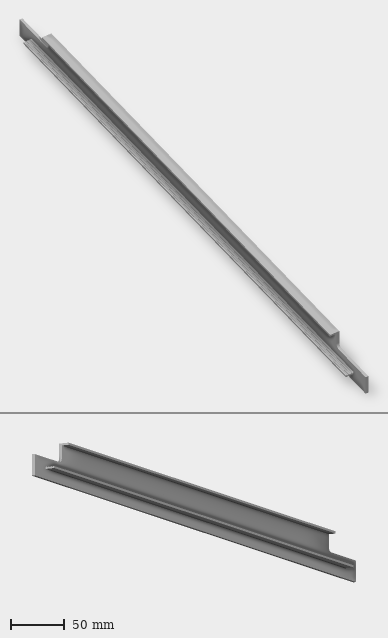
import cadquery as cq

length = 596.0
height = 39.0
thickness = 3.0

shoulder_height = 20.0
raised_length = 496.0
corner_radius = 4.0
flange_depth = 10.0
flange_thickness = 2.0

rib_length = 555.5
rib_depth = 12.0
rib_bottom = 9.5
rib_thickness = 2.0

groove_count = 4
groove_pitch = 2.0
groove_width = 1.45
groove_depth = 0.9
first_groove_offset = 5.0


def front_bar(bar_length, depth, bottom, bar_height):
    """Bar centred in X that reaches forward (-Y) from the back of the plate."""
    return (
        cq.Workplane("XY")
        .box(bar_length, depth, bar_height, centered=(True, False, False))
        .translate((0, -depth, bottom))
    )


def stepped_plate():
    """Upright plate with a taller middle and rounded inside shoulders."""
    lower = front_bar(length, thickness, 0, shoulder_height)
    raised = front_bar(raised_length, thickness, 0, height)
    half_raised = raised_length / 2
    tolerance = 0.05
    shoulder_corners = cq.selectors.BoxSelector(
        (-half_raised - tolerance, -thickness - tolerance, shoulder_height - tolerance),
        (half_raised + tolerance, tolerance, shoulder_height + tolerance),
    )
    return lower.union(raised).edges("|Y").edges(shoulder_corners).fillet(corner_radius)


def grooved_rib():
    """Rib with evenly spaced V-grooves along its whole top face."""
    rib = front_bar(rib_length, rib_depth, rib_bottom, rib_thickness)
    rib_top = rib_bottom + rib_thickness
    for index in range(groove_count):
        groove_y = -(first_groove_offset + index * groove_pitch)
        groove = (
            cq.Workplane("YZ")
            .moveTo(groove_y - groove_width / 2, rib_top)
            .lineTo(groove_y, rib_top - groove_depth)
            .lineTo(groove_y + groove_width / 2, rib_top)
            .close()
            .extrude(rib_length / 2, both=True)
        )
        rib = rib.cut(groove)
    return rib


flange = front_bar(raised_length, flange_depth, height - flange_thickness, flange_thickness)

result = stepped_plate().union(flange).union(grooved_rib())